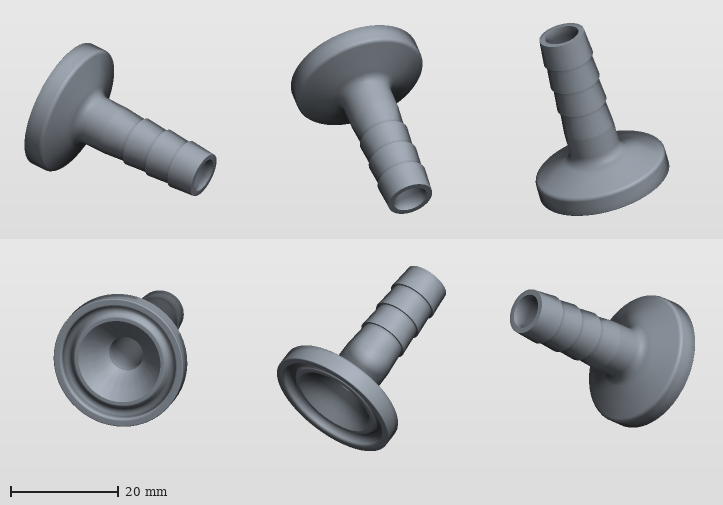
import cadquery as cq
import math

total_length = 32.0
flange_radius = 25.0 / 2
neck_radius = 9.5 / 2
bore_radius = 6.5 / 2

front_edge_fillet = 0.2
back_edge_fillet = 0.8
back_cone_end_x = 6.5
back_cone_angle = 20.0
neck_fillet = 2.0

groove_outer_radius = 10.9
groove_inner_wall_angle = 35.0
groove_bottom_fillet = 0.8
groove_edge_fillet = 0.5

lip_recess = 0.85
lip_outer_radius = 8.75
inlet_radius = 7.925
inlet_end_x = 5.85

barb_count = 4
barb_length = 5.0
barb_taper_angle = 5.0


def slope(angle):
    """Rise per unit run of a line at an angle in degrees."""
    return math.tan(math.radians(angle))


def flange_back_points():
    """Cylinder rim, tapered back and filleted neck, as (x, radius, fillet)."""
    rim_back_x = back_cone_end_x - (flange_radius - neck_radius) * slope(back_cone_angle)
    return [
        (0, flange_radius, front_edge_fillet),
        (rim_back_x, flange_radius, back_edge_fillet),
        (back_cone_end_x, neck_radius, neck_fillet),
    ]


def barb_points():
    """Saw-tooth barbs tapering toward the free end."""
    tip_radius = neck_radius - barb_length * slope(barb_taper_angle)
    first_x = total_length - barb_count * barb_length
    points = []
    for index in range(barb_count):
        start_x = first_x + index * barb_length
        points.append((start_x, neck_radius, 0))
        points.append((start_x + barb_length, tip_radius, 0))
    return points


def bore_points():
    """Through bore opening into the conical inlet."""
    return [
        (total_length, bore_radius, 0),
        (inlet_end_x, bore_radius, 0),
        (lip_recess, inlet_radius, 0),
    ]


def groove_points():
    """Lip edge, rounded groove bottom (where the two walls would meet) and outer groove edge."""
    inner_wall_slope = slope(groove_inner_wall_angle)
    apex_x = lip_recess + (groove_outer_radius - lip_outer_radius) / inner_wall_slope
    return [
        (lip_recess, lip_outer_radius, groove_edge_fillet),
        (apex_x, groove_outer_radius, groove_bottom_fillet),
        (0, groove_outer_radius, groove_edge_fillet),
    ]


def corner_arc(before, corner, after, fillet):
    """Start, middle and end of the tangent arc that rounds a corner."""
    point = cq.Vector(corner)
    to_before = (cq.Vector(before) - point).normalized()
    to_after = (cq.Vector(after) - point).normalized()
    half_angle = to_before.getAngle(to_after) / 2
    tangent_length = fillet / math.tan(half_angle)
    middle_distance = fillet / math.sin(half_angle) - fillet
    start = point + to_before * tangent_length
    middle = point + (to_before + to_after).normalized() * middle_distance
    end = point + to_after * tangent_length
    return start.toTuple()[:2], middle.toTuple()[:2], end.toTuple()[:2]


def rounded_profile(points):
    """Closed outline through (x, radius, fillet) corners; the first corner must be sharp."""
    corners = [(x, radius) for x, radius, _ in points]
    sketch = cq.Workplane("XZ").moveTo(*corners[0])
    for index in range(1, len(points)):
        corner = corners[index]
        fillet = points[index][2]
        if fillet == 0:
            sketch = sketch.lineTo(*corner)
            continue
        after = corners[(index + 1) % len(points)]
        start, middle, end = corner_arc(corners[index - 1], corner, after, fillet)
        sketch = sketch.lineTo(*start).threePointArc(middle, end)
    return sketch.close()


outline = bore_points() + groove_points() + flange_back_points() + barb_points()
result = rounded_profile(outline).revolve(360, (0, 0, 0), (1, 0, 0))